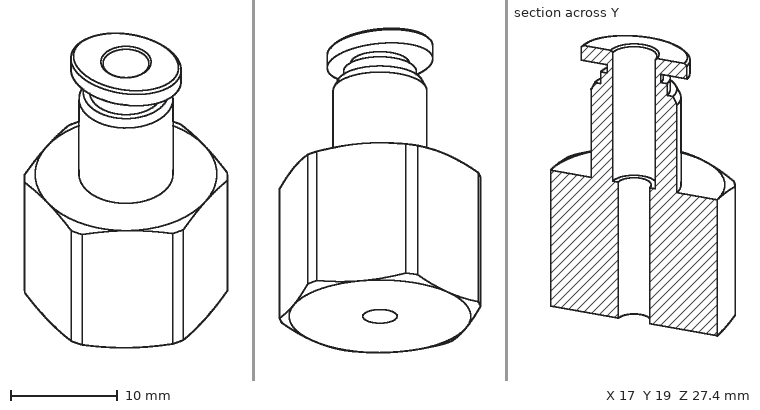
import cadquery as cq
import math

across_flats = 17.0
corner_diameter = 19.0
hex_height = 14.0
hex_chamfer_angle = 22.0

body_diameter = 8.8
body_height = 9.8
body_chamfer_width = 0.4
body_chamfer_height = 0.8

step_diameter = 6.8
step_height = 1.2
neck_diameter = 5.5
neck_height = 0.8

collar_length = 10.8
collar_width = 8.6
collar_height = 1.6
collar_chamfer = 0.25

through_diameter = 3.2
tube_diameter = 4.3
tube_chamfer = 0.2

body_base = hex_height
step_base = body_base + body_height
neck_base = step_base + step_height
collar_base = neck_base + neck_height
total_height = collar_base + collar_height


def cylinder(diameter, base, height):
    return cq.Workplane("XY").workplane(offset=base).circle(diameter / 2).extrude(height)


def make_hex_base():
    """Hexagon with flats at +X and -X, corners turned down and both ends chamfered by cones."""
    circumscribed_diameter = across_flats / math.cos(math.pi / 6)
    prism = (
        cq.Workplane("XY")
        .polygon(6, circumscribed_diameter)
        .extrude(hex_height)
        .rotate((0, 0, 0), (0, 0, 1), 30)
    )
    end_radius = across_flats / 2
    corner_radius = corner_diameter / 2
    chamfer_drop = (corner_radius - end_radius) * math.tan(math.radians(hex_chamfer_angle))
    envelope = (
        cq.Workplane("XZ")
        .moveTo(0, 0)
        .lineTo(end_radius, 0)
        .lineTo(corner_radius, chamfer_drop)
        .lineTo(corner_radius, hex_height - chamfer_drop)
        .lineTo(end_radius, hex_height)
        .lineTo(0, hex_height)
        .close()
        .revolve(360, (0, 0, 0), (0, 1, 0))
    )
    return prism.intersect(envelope)


def make_body():
    """Cylinder with a steep chamfer around its top edge."""
    body = cylinder(body_diameter, body_base, body_height)
    return body.faces(">Z").edges().chamfer(body_chamfer_height, body_chamfer_width)


def make_collar():
    """Elliptical flange with its long axis along X and a chamfered top edge."""
    collar = (
        cq.Workplane("XY")
        .workplane(offset=collar_base)
        .ellipse(collar_length / 2, collar_width / 2)
        .extrude(collar_height)
    )
    return collar.faces(">Z").edges().chamfer(collar_chamfer)


def make_bore():
    """Through hole, wider tube socket down to the hexagon, and the socket's lead-in chamfer."""
    through_hole = cylinder(through_diameter, 0, total_height)
    tube_socket = cylinder(tube_diameter, body_base, total_height - body_base)
    lead_in = cq.Workplane("XY").add(
        cq.Solid.makeCone(
            tube_diameter / 2,
            tube_diameter / 2 + tube_chamfer,
            tube_chamfer,
            pnt=cq.Vector(0, 0, total_height - tube_chamfer),
        )
    )
    return through_hole.union(tube_socket).union(lead_in)


result = (
    make_hex_base()
    .union(make_body())
    .union(cylinder(step_diameter, step_base, step_height))
    .union(cylinder(neck_diameter, neck_base, neck_height))
    .union(make_collar())
    .cut(make_bore())
)